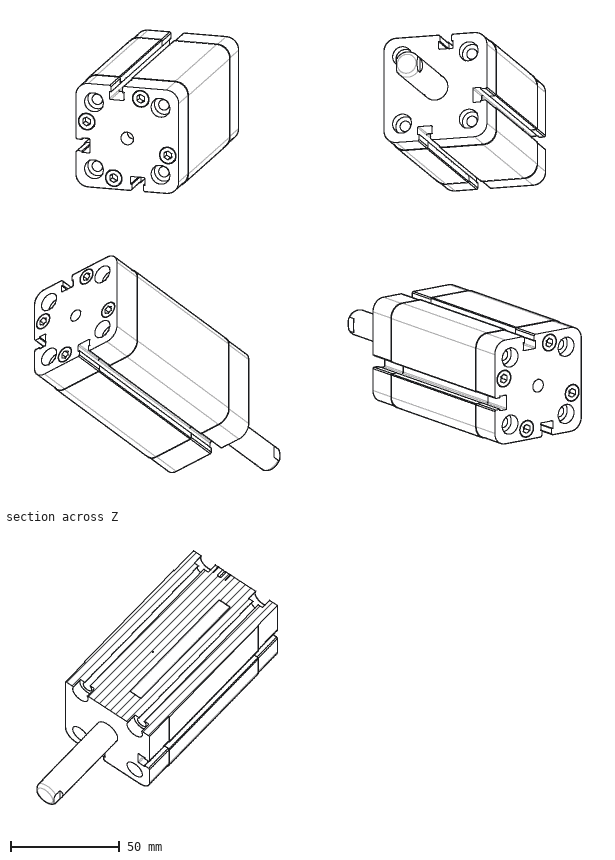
import cadquery as cq
import math

CAP_SIDE = 49.5
BARREL_SIDE = 50.1
CORNER_RADIUS = 6.0
TOTAL_LENGTH = 140.5
HOUSING_LENGTH = 94.5
CAP_LENGTH = 14.4
BARREL_LENGTH = HOUSING_LENGTH - 2 * CAP_LENGTH
FLAT_HALF_WIDTH = CAP_SIDE / 2 - CORNER_RADIUS

SLOT_OFFSET = 5.0
SLOT_LIP = 21.7
CAP_SLOT = (5.5, 6.9, 0.6, 18.0)
BARREL_SLOT = (5.6, 6.9, 0.4, 17.9)
SLOT_FLOOR_RADIUS = 0.5

MOUNT_OFFSET = 16.0
MOUNT_HOLE_DIAMETER = 4.92
MOUNT_BORE_DIAMETER = 9.0
MOUNT_BORE_DEPTH = 5.2

SCREW_NEAR = 6.5
SCREW_FAR = 19.5
SCREW_BORE_DIAMETER = 8.0
SCREW_HEAD_DIAMETER = 7.5
SCREW_HEAD_HEIGHT = 4.0
SCREW_HEX_ACROSS_FLATS = 3.6
SCREW_HEX_DEPTH = 4.0

CENTER_HOLE_DIAMETER = 6.0
CENTER_HOLE_DEPTH = 10.0

ROD_DIAMETER = 12.0
ROD_TIP_RADIUS = 1.5
ROD_ACROSS_FLATS = 10.0
ROD_FLAT_LENGTH = 4.5
ROD_RUNOUT_LENGTH = 1.0


def front_plane(y):
    """Sketch plane at the given Y, with local x = X, local y = Z, and normal -Y."""
    return cq.Workplane("XZ", origin=(0, y, 0))


def prism(sketch, length):
    """Extrude a sketch from its plane toward +Y."""
    return sketch.extrude(-length)


def rounded_block(side, radius, start, length):
    block = prism(front_plane(start).rect(side, side), length)
    return block.edges("|Y").fillet(radius)


def slot_cutter(side, slot, start, length):
    """T-slot cutter opening toward +Z, with a chamfered mouth."""
    mouth, undercut, chamfer, floor = slot
    half_side = side / 2
    half_mouth = mouth / 2
    half_undercut = undercut / 2
    outline = [
        (-half_undercut, floor),
        (half_undercut, floor),
        (half_undercut, SLOT_LIP),
        (half_mouth, SLOT_LIP),
        (half_mouth, half_side - chamfer),
        (half_mouth + chamfer, half_side),
        (-half_mouth - chamfer, half_side),
        (-half_mouth, half_side - chamfer),
        (-half_mouth, SLOT_LIP),
        (-half_undercut, SLOT_LIP),
    ]
    cutter = prism(front_plane(start).polyline(outline).close(), length)
    cutter = cutter.edges("|Y and <Z").fillet(SLOT_FLOOR_RADIUS)
    return cutter.translate((-SLOT_OFFSET, 0, 0))


def slotted_block(side, slot, start, length):
    """Housing section with T-slots in its +Z, -X and -Z faces."""
    radius = side / 2 - FLAT_HALF_WIDTH
    block = rounded_block(side, radius, start, length)
    top_slot = slot_cutter(side, slot, start, length)
    for quarter_turns in range(3):
        block = block.cut(top_slot.rotate((0, 0, 0), (0, 1, 0), -90 * quarter_turns))
    return block


def housing():
    body = slotted_block(BARREL_SIDE, BARREL_SLOT, CAP_LENGTH, BARREL_LENGTH)
    for cap_start in (0, CAP_LENGTH + BARREL_LENGTH):
        cap = slotted_block(CAP_SIDE, CAP_SLOT, cap_start, CAP_LENGTH)
        body = body.union(cap)
    return body


def mounting_holes():
    """Through holes in the corners, counterbored in both caps."""
    spacing = 2 * MOUNT_OFFSET
    corners = front_plane(0).rect(spacing, spacing, forConstruction=True).vertices()
    holes = prism(corners.circle(MOUNT_HOLE_DIAMETER / 2), HOUSING_LENGTH)
    for start in (0, HOUSING_LENGTH - MOUNT_BORE_DEPTH):
        corners = front_plane(start).rect(spacing, spacing, forConstruction=True).vertices()
        holes = holes.union(prism(corners.circle(MOUNT_BORE_DIAMETER / 2), MOUNT_BORE_DEPTH))
    return holes


def screw_recess(x, z):
    """Ring gap around a screw head plus its hexagon socket, with two corners pointing along Z."""
    at_screw = front_plane(0).center(x, z)
    gap = prism(
        at_screw.circle(SCREW_BORE_DIAMETER / 2).circle(SCREW_HEAD_DIAMETER / 2),
        SCREW_HEAD_HEIGHT,
    )
    across_corners = SCREW_HEX_ACROSS_FLATS / math.cos(math.pi / 6)
    upright = at_screw.transformed(rotate=(0, 0, 90))
    socket = prism(upright.polygon(6, across_corners), SCREW_HEX_DEPTH)
    return gap.union(socket)


def center_hole():
    return prism(front_plane(0).circle(CENTER_HOLE_DIAMETER / 2), CENTER_HOLE_DEPTH)


def piston_rod():
    """Rod with a rounded tip and two wrench flats facing -X and +X."""
    radius = ROD_DIAMETER / 2
    rod_length = TOTAL_LENGTH - HOUSING_LENGTH
    rod = prism(front_plane(HOUSING_LENGTH).circle(radius), rod_length)
    rod = rod.faces(">Y").edges().fillet(ROD_TIP_RADIUS)

    flat_x = ROD_ACROSS_FLATS / 2
    flat_end = TOTAL_LENGTH - ROD_FLAT_LENGTH
    flat_cut = (
        cq.Workplane("XY")
        .moveTo(flat_x, TOTAL_LENGTH)
        .lineTo(flat_x, flat_end)
        .lineTo(radius, flat_end - ROD_RUNOUT_LENGTH)
        .lineTo(radius, TOTAL_LENGTH)
        .close()
        .extrude(radius, both=True)
    )
    return rod.cut(flat_cut).cut(flat_cut.mirror("YZ"))


body = housing().cut(mounting_holes()).cut(center_hole())
for sign in (1, -1):
    body = body.cut(screw_recess(sign * SCREW_NEAR, sign * SCREW_FAR))
    body = body.cut(screw_recess(-sign * SCREW_FAR, sign * SCREW_NEAR))

result = body.union(piston_rod()).translate((0, -TOTAL_LENGTH / 2, 0))